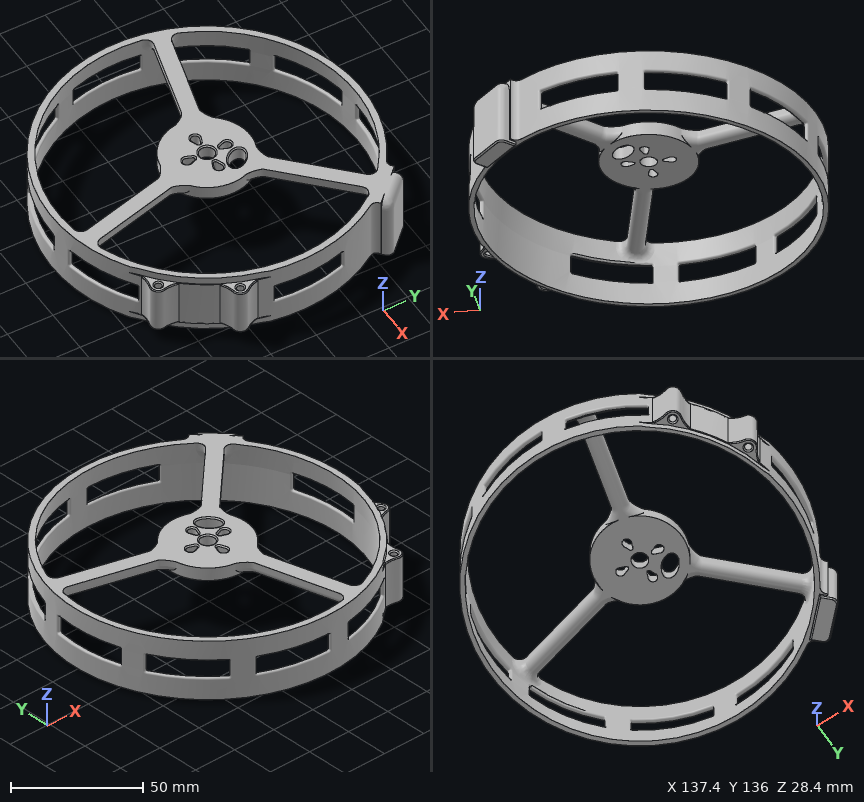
import cadquery as cq
import math

RING_R = 68.0
RING_H = 26.8
RIM_INNER_R = 65.0
WALL_INNER_R = 65.9
WALL_MID_R = (WALL_INNER_R + RING_R) / 2
WALL_TOP_Z = 16.9

WINDOW_STEPS = 10
WINDOW_START = 5.0
CLOSED_STEPS = (1, 9)
SEAM_ANGLE = WINDOW_START + 360 / WINDOW_STEPS
WINDOW_L = 31.7
WINDOW_H = 8.0
WINDOW_Z = 13.7
WINDOW_CORNER_R = 0.5
WINDOW_EDGE_R = 0.8

HUB_R = 19.0
PLATE_T = 5.8
SPOKE_ANGLES = (45, 165, 285)
SPOKE_W = 7.0
PLATE_Z = RING_H - PLATE_T
SPOKE_END = WALL_INNER_R + 0.5
SPOKE_EDGE_R = 3.0
SPOKE_END_R = 3.5
FLARE_START = 22.7
FLARE_MID = (18.1, 6.7)
FLARE_KINK_R = 2.7
FLARE_END_R = HUB_R - 0.1
FLARE_END_ANGLE = 36.0

HOLE_CHAMFER = 0.5
BORE_R = 3.3
SLOT_OUTER_POS = 8.8
SLOT_OUTER_R = 1.8
SLOT_INNER_POS = 6.2
SLOT_INNER_R = 0.8
WIRE_HOLE_POS = 11.7
WIRE_HOLE_A = 5.4
WIRE_HOLE_B = 3.3

BLOCK_ANGLE = 45
BLOCK_W = 19.2
BLOCK_R = 74.7
BLOCK_ROOT_R = 67.1
BLOCK_DROP = 1.6
BLOCK_TOP_R = 4.4
BLOCK_CORNER_R = 2.7
BLOCK_BOTTOM_R = 0.5
SEAT_W = 20.6
SEAT_R = 70.3
SEAT_FILLET_R = 2.7

LUG_MID_ANGLE = -33.2
LUG_HALF_ANGLE = 12.7
LUG_R = 70.37
LUG_TIP_R = 3.5
LUG_FOOT_HALF_ANGLE = 6.2
LUG_H = 20.6
LUG_Z = 3.0
LUG_TIP_HALF_ANGLE = 60.0
LUG_EDGE = 0.4
PIN_R = 1.44
PIN_CHAMFER = 0.5
RELIEF_DEPTH = 0.4
RELIEF_TOP_HALF_ANGLE = 23.0
RELIEF_FLOOR_HALF_ANGLE = 20.5


def polar(radius, angle):
    a = math.radians(angle)
    return (radius * math.cos(a), radius * math.sin(a))


def turned(body, angle):
    return body.rotate((0, 0, 0), (0, 0, 1), angle)


def disk(radius, bottom, top):
    return cq.Workplane("XY").workplane(offset=bottom).circle(radius).extrude(top - bottom)


def ring_bore():
    profile = [
        (0, 0), (WALL_INNER_R, 0), (WALL_INNER_R, WALL_TOP_Z),
        (RIM_INNER_R, RING_H), (0, RING_H),
    ]
    return cq.Workplane("XZ").polyline(profile).close().revolve(360, (0, 0), (0, 1))


def windowed_ring():
    ring = turned(disk(RING_R, 0, RING_H).cut(ring_bore()), SEAM_ANGLE)
    cutter = (
        cq.Workplane("XY")
        .box(RING_R, WINDOW_L, WINDOW_H, centered=(False, True, True))
        .edges("|X").fillet(WINDOW_CORNER_R)
        .translate((RING_R / 2, 0, WINDOW_Z))
    )
    for step in range(WINDOW_STEPS):
        if step not in CLOSED_STEPS:
            ring = ring.cut(turned(cutter, WINDOW_START + step * 360 / WINDOW_STEPS))
    reach = WINDOW_H / 2 + 0.07
    window_zone = cq.selectors.BoxSelector(
        (-RING_R, -RING_R, WINDOW_Z - reach), (RING_R, RING_R, WINDOW_Z + reach))
    wall_crease = cq.selectors.BoxSelector(
        (-RING_R, -RING_R, WALL_TOP_Z - 0.01), (RING_R, RING_R, WALL_TOP_Z + 0.01))
    return ring.edges(window_zone - wall_crease).fillet(WINDOW_EDGE_R)


def spoke():
    half_w = SPOKE_W / 2
    flare_x, flare_y = polar(FLARE_END_R, FLARE_END_ANGLE)
    mid_x, mid_y = FLARE_MID
    bar = (
        cq.Workplane("XY").workplane(offset=PLATE_Z)
        .moveTo(0, -flare_y)
        .lineTo(flare_x, -flare_y)
        .threePointArc((mid_x, -mid_y), (FLARE_START, -half_w))
        .lineTo(SPOKE_END, -half_w)
        .lineTo(SPOKE_END, half_w)
        .lineTo(FLARE_START, half_w)
        .threePointArc((mid_x, mid_y), (flare_x, flare_y))
        .lineTo(0, flare_y)
        .close().extrude(PLATE_T)
    )
    kinks = cq.selectors.BoxSelector(
        (FLARE_START - 0.1, -SPOKE_W, PLATE_Z), (FLARE_START + 0.1, SPOKE_W, RING_H))
    bar = bar.edges(kinks).fillet(FLARE_KINK_R)
    long_sides = cq.selectors.BoxSelector(
        (flare_x + 0.1, -flare_y, PLATE_Z - 0.1), (SPOKE_END - 0.1, flare_y, PLATE_Z + 0.1))
    return bar.edges(long_sides).fillet(SPOKE_EDGE_R)


def add_spoke(body, angle):
    joined = turned(body, -angle).union(spoke())
    corner = cq.selectors.BoxSelector(
        (SPOKE_END - 2.7, -SPOKE_W, PLATE_Z - 0.1), (SPOKE_END, SPOKE_W, RING_H - 0.1))
    return turned(joined.edges(corner).fillet(SPOKE_END_R), angle)


def clip_block():
    depth = BLOCK_R - BLOCK_ROOT_R
    block = (
        cq.Workplane("XY")
        .box(depth, BLOCK_W, RING_H + BLOCK_DROP, centered=(False, True, False))
        .edges("|Z and >X").fillet(BLOCK_CORNER_R)
        .faces(">Z").edges(">X").fillet(BLOCK_TOP_R)
        .faces("<Z").edges().chamfer(BLOCK_BOTTOM_R)
        .translate((BLOCK_ROOT_R, 0, -BLOCK_DROP))
    )
    return block


def add_clip(body):
    """Join the seat and the block, built on the X axis, and round the seat into the ring."""
    seat = (
        cq.Workplane("XY")
        .box(SEAT_R - WALL_MID_R, SEAT_W, RING_H, centered=(False, True, False))
        .translate((WALL_MID_R, 0, 0))
    )
    joined = turned(body, -BLOCK_ANGLE).union(seat)
    root_x = math.sqrt(RING_R**2 - (SEAT_W / 2) ** 2)
    roots = cq.selectors.BoxSelector(
        (root_x - 0.1, -SEAT_W, 0.1), (root_x + 0.1, SEAT_W, RING_H - 0.1))
    joined = joined.edges(roots).edges("|Z").fillet(SEAT_FILLET_R)
    return turned(joined.union(clip_block()), BLOCK_ANGLE)


def relief_cutter(bottom, top):
    """Shallow cut into the outside of the ring, centred on the X axis, with sloping ends."""
    floor_r = RING_R - RELIEF_DEPTH
    outside_r = RING_R + 1.4
    cutter = (
        cq.Workplane("XY").workplane(offset=bottom)
        .moveTo(*polar(floor_r, -RELIEF_FLOOR_HALF_ANGLE))
        .threePointArc((floor_r, 0), polar(floor_r, RELIEF_FLOOR_HALF_ANGLE))
        .lineTo(*polar(RING_R, RELIEF_TOP_HALF_ANGLE))
        .lineTo(*polar(outside_r, RELIEF_TOP_HALF_ANGLE))
        .threePointArc((outside_r, 0), polar(outside_r, -RELIEF_TOP_HALF_ANGLE))
        .lineTo(*polar(RING_R, -RELIEF_TOP_HALF_ANGLE))
        .close().extrude(top - bottom)
    )
    return turned(cutter, LUG_MID_ANGLE)


def lug():
    """Hinge lug on the X axis: a rounded tip flaring into a wide foot on the ring."""
    foot_x, foot_y = polar(RING_R, LUG_FOOT_HALF_ANGLE)
    tip_mid_x, tip_mid_y = polar(LUG_TIP_R, LUG_TIP_HALF_ANGLE / 2)
    tip_end_x, tip_end_y = polar(LUG_TIP_R, LUG_TIP_HALF_ANGLE)
    half = (
        cq.Workplane("XY").workplane(offset=LUG_Z)
        .moveTo(WALL_MID_R, 0)
        .lineTo(LUG_R + LUG_TIP_R, 0)
        .threePointArc((LUG_R + tip_mid_x, tip_mid_y), (LUG_R + tip_end_x, tip_end_y))
        .tangentArcPoint((foot_x, foot_y), relative=False)
        .lineTo(WALL_MID_R, foot_y)
        .close().extrude(LUG_H)
    )
    body = half.union(half.mirror("XZ"))
    return body.faces("<Z or >Z").edges("%CIRCLE").chamfer(LUG_EDGE)


def pin_hole():
    hole = disk(PIN_R, LUG_Z, LUG_Z + LUG_H)
    wide_r = PIN_R + PIN_CHAMFER
    for face_z, sign in ((LUG_Z, 1), (LUG_Z + LUG_H, -1)):
        mouth = cq.Solid.makeCone(
            wide_r, PIN_R, PIN_CHAMFER, cq.Vector(0, 0, face_z), cq.Vector(0, 0, sign))
        hole = hole.union(cq.Workplane(mouth))
    return hole.translate((LUG_R, 0, 0))


def add_lugs(body):
    body = body.cut(relief_cutter(0, LUG_Z))
    body = body.cut(relief_cutter(LUG_Z + LUG_H, RING_H))
    for side in (-1, 1):
        angle = LUG_MID_ANGLE + side * LUG_HALF_ANGLE
        body = body.union(turned(lug(), angle)).cut(turned(pin_hole(), angle))
    return body


def add_spokes(body):
    for angle in SPOKE_ANGLES:
        body = add_spoke(body, angle)
    return body.union(disk(HUB_R, PLATE_Z, RING_H))


def slot_outline(plane, margin):
    """Keyhole outline on the X axis: a wide outer end tapering to a narrow inner end."""
    outer_r = SLOT_OUTER_R + margin
    inner_r = SLOT_INNER_R + margin
    lean = math.degrees(math.acos((outer_r - inner_r) / (SLOT_OUTER_POS - SLOT_INNER_POS)))
    tangent = 180 - lean
    outer_x, outer_y = polar(outer_r, tangent)
    inner_x, inner_y = polar(inner_r, tangent)
    return (
        plane.moveTo(SLOT_OUTER_POS + outer_x, -outer_y)
        .threePointArc((SLOT_OUTER_POS + outer_r, 0), (SLOT_OUTER_POS + outer_x, outer_y))
        .lineTo(SLOT_INNER_POS + inner_x, inner_y)
        .threePointArc((SLOT_INNER_POS - inner_r, 0), (SLOT_INNER_POS + inner_x, -inner_y))
        .close()
    )


def bore_outline(plane, margin):
    return plane.circle(BORE_R + margin)


def wire_outline(plane, margin):
    return plane.center(WIRE_HOLE_POS, 0).ellipse(WIRE_HOLE_B + margin, WIRE_HOLE_A + margin)


def hub_hole(outline):
    """Through hole in the hub with a chamfered mouth on the top face."""
    through = outline(cq.Workplane("XY").workplane(offset=PLATE_Z), 0).extrude(PLATE_T)
    mouth = outline(cq.Workplane("XY").workplane(offset=RING_H), HOLE_CHAMFER)
    return through.union(mouth.extrude(-HOLE_CHAMFER, taper=45))


def cut_hub_holes(body):
    body = body.cut(hub_hole(bore_outline))
    body = body.cut(turned(hub_hole(wire_outline), BLOCK_ANGLE))
    slot = hub_hole(slot_outline)
    for quarter in range(4):
        body = body.cut(turned(slot, 90 * quarter))
    return body


result = windowed_ring()
result = add_spokes(result)
result = add_clip(result)
result = add_lugs(result)
result = cut_hub_holes(result)